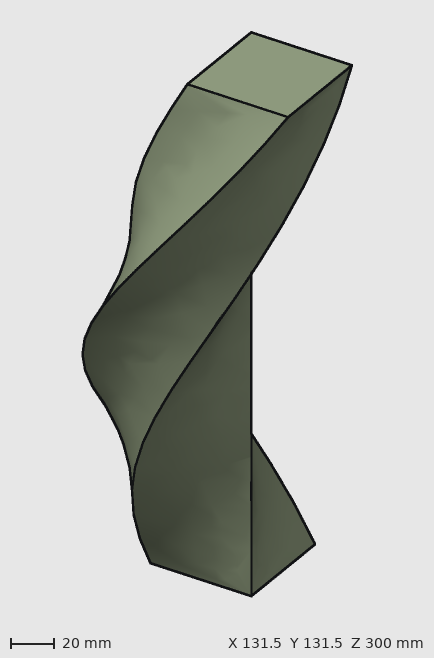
import cadquery as cq
import math

height = 300.0
overall_width = 131.5
twist_angle = 180.0

side = overall_width / (1 + math.sqrt(2))

bottom_square = cq.Workplane("XY").center(-side / 2, side / 2).rect(side, side)

result = bottom_square.center(side / 2, -side / 2).twistExtrude(height, twist_angle)